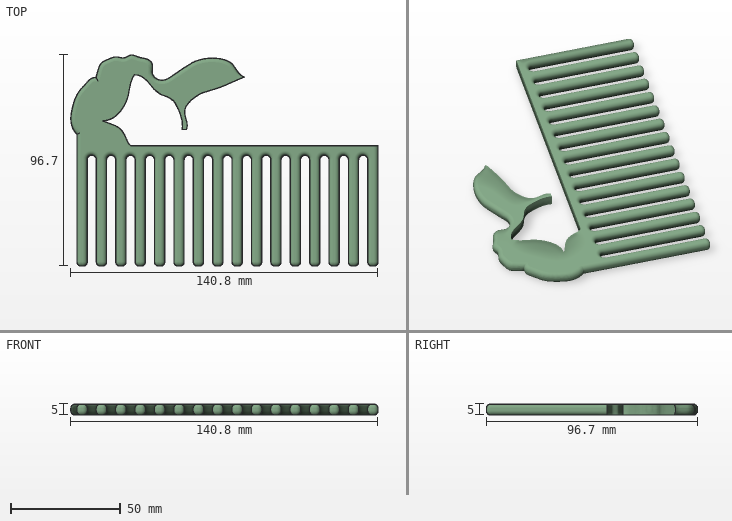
import cadquery as cq

thickness = 5.0
overall_length = 140.8
tooth_count = 16
tooth_width = 4.8
first_tooth_left = 2.8
spine_top = 55.2
gap_straight_top = 48.7
edge_radius = 2.0

tooth_pitch = (overall_length - first_tooth_left - tooth_width) / (tooth_count - 1)
gap_radius = (tooth_pitch - tooth_width) / 2

back_start = (first_tooth_left, 60.4)
neck_corner = (11.5, 86.5)
tail_tip = (79.5, 86.6)
lower_fin_right = (52.9, 62.5)
lower_fin_left = (51.0, 62.5)
waist_corner = (29.1, 87.5)
elbow_corner = (14.6, 66.6)
spine_start = (27.5, spine_top)

back_curve = [
    (0.7, 63.6), (0, 67.7), (0.5, 71.8), (1.7, 75.9), (4.0, 80.2), (6.5, 83), (10.1, 86.3),
]
head_curve = [
    (12.4, 89.5), (14.1, 93.0), (17.0, 94.7), (21.1, 95.9), (24.5, 95.5), (27.6, 96.7),
    (31.3, 95.7), (35.2, 94.7), (37.3, 92.8), (37.6, 87.8), (39.3, 85.9), (43.4, 85.5),
    (47.2, 87.7), (51.8, 90.8), (55.9, 93.3), (60.5, 94.9), (69.1, 94.9), (73.8, 92.8), (76.2, 89.5),
]
upper_fin_curve = [
    (76.5, 85.3), (67.4, 81.5), (58.7, 78.5), (55.3, 76.2), (52.9, 73.3), (52.2, 70.1), (53.2, 66.0),
]
tail_underside_curve = [
    (51.0, 66.6), (49.4, 71.5), (47.2, 75.6), (44.5, 77.4), (41.4, 78.5), (37.9, 81.4),
    (34.9, 84.9), (32.7, 86.7),
]
chest_curve = [(27.5, 83.8), (26.3, 78.0), (22.8, 71.0), (19.8, 68.1), (17.9, 67.1)]
arm_curve = [(18.2, 65.3), (22.8, 62.8), (24.8, 60.0), (26.3, 56.5)]


def curve_to(outline, inner_points, end):
    return outline.spline(inner_points + [end], includeCurrent=True)


def comb_outline():
    outline = cq.Workplane("XY").moveTo(*back_start)
    outline = curve_to(outline, back_curve, neck_corner)
    outline = curve_to(outline, head_curve, tail_tip)
    outline = curve_to(outline, upper_fin_curve, lower_fin_right)
    outline = outline.lineTo(*lower_fin_left)
    outline = curve_to(outline, tail_underside_curve, waist_corner)
    outline = curve_to(outline, chest_curve, elbow_corner)
    outline = curve_to(outline, arm_curve, spine_start)
    outline = outline.lineTo(overall_length, spine_top)

    for index in reversed(range(tooth_count)):
        left = first_tooth_left + index * tooth_pitch
        outline = outline.lineTo(left + tooth_width, 0).lineTo(left, 0)
        if index > 0:
            outline = outline.lineTo(left, gap_straight_top)
            outline = outline.threePointArc(
                (left - gap_radius, gap_straight_top + gap_radius),
                (left - 2 * gap_radius, gap_straight_top),
            )
    return outline.close()


def round_tooth_tips(plate):
    """Round the upright corners at the free ends of the teeth."""
    tip_region = cq.selectors.BoxSelector(
        (0, -edge_radius, 0), (overall_length + edge_radius, edge_radius, thickness)
    )
    return plate.edges("|Z").edges(tip_region).fillet(edge_radius)


def round_outer_edges(plate):
    """Round both faces around the teeth, the back and the head.

    The region between the comb's spine and the neck holds the middles of the edges that stay sharp.
    """
    sharp_region = cq.selectors.BoxSelector(
        (first_tooth_left + tooth_width, gap_straight_top + 2 * gap_radius, -thickness),
        (overall_length, neck_corner[1], 2 * thickness),
    )
    rounded_edges = cq.selectors.InverseSelector(sharp_region)
    return plate.faces("|Z").edges(rounded_edges).fillet(edge_radius)


plate = comb_outline().extrude(thickness)
result = round_outer_edges(round_tooth_tips(plate))